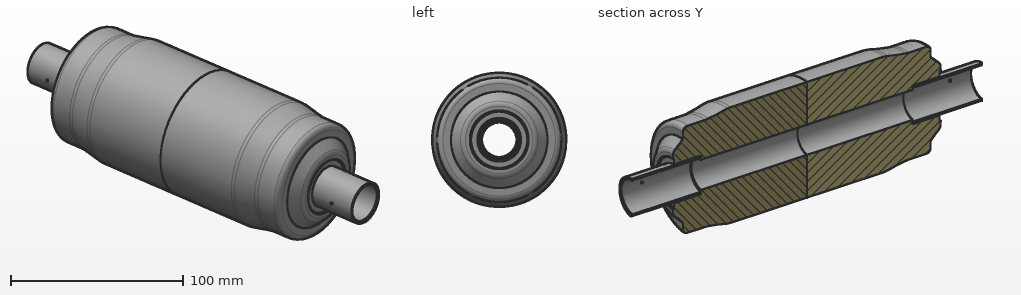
import cadquery as cq

overall_length = 243.5
end_x = overall_length / 2

barrel_radius = 39.0
barrel_end_x = 54.3
shoulder_radius = 36.0
taper_end_x = 69.5
taper_blend_radius = 12.0
shell_end_x = 86.2
shell_end_fillet = 3.5

nose_end_x = 93.0
nose_base_radius = 28.0
nose_length = nose_end_x - shell_end_x
nose_tip_radius = nose_base_radius - nose_length
nose_fillet = 4.1

recess_mouth_radius = 17.0
recess_floor_radius = 16.3
recess_depth = recess_mouth_radius - recess_floor_radius
recess_floor_x = nose_end_x - recess_depth

tube_outer_radius = 12.7
tube_bore_radius = 11.2
tube_bore_chamfer = 0.5
socket_depth = 19.5
tube_inner_x = nose_end_x - socket_depth
shell_bore_radius = 10.0

tube_hole_diameter = 1.2
tube_hole_x = 106.9


def fillet_rim(body, x, radius, fillet_radius):
    """Round the circular edge of the given radius that is centred on the axis at x."""
    tolerance = 0.002
    rims = body.edges("%CIRCLE").filter(
        lambda edge: abs(edge.Center().x - x) < tolerance and abs(edge.radius() - radius) < tolerance
    )
    return rims.fillet(fillet_radius)


def revolve_about_x(points):
    """Revolve an outline of (x, radius) points about the X axis, with the seam on the -Y side."""
    outline = [(x, -radius) for x, radius in points]
    return cq.Workplane("XY").polyline(outline).close().revolve(360, (0, 0, 0), (1, 0, 0))


def make_shell_half():
    """Right-hand shell half with its nose, tube socket and through bore."""
    half = revolve_about_x([
        (0, shell_bore_radius),
        (0, barrel_radius),
        (barrel_end_x, barrel_radius),
        (taper_end_x, shoulder_radius),
        (shell_end_x, shoulder_radius),
        (shell_end_x, nose_base_radius),
        (nose_end_x, nose_tip_radius),
        (nose_end_x, recess_mouth_radius),
        (recess_floor_x, recess_floor_radius),
        (recess_floor_x, tube_outer_radius),
        (tube_inner_x, tube_outer_radius),
        (tube_inner_x, shell_bore_radius),
    ])
    half = fillet_rim(half, barrel_end_x, barrel_radius, taper_blend_radius)
    half = fillet_rim(half, taper_end_x, shoulder_radius, taper_blend_radius)
    half = fillet_rim(half, shell_end_x, shoulder_radius, shell_end_fillet)
    return fillet_rim(half, nose_end_x, nose_tip_radius, nose_fillet)


def make_tube():
    """Right-hand tube, seated in the shell socket, with a small hole on the -Y side."""
    tube = revolve_about_x([
        (tube_inner_x, tube_bore_radius),
        (tube_inner_x, tube_outer_radius),
        (end_x, tube_outer_radius),
        (end_x, tube_bore_radius + tube_bore_chamfer),
        (end_x - tube_bore_chamfer, tube_bore_radius),
    ])
    hole_cutter = (
        cq.Workplane("XZ")
        .center(tube_hole_x, 0)
        .circle(tube_hole_diameter / 2)
        .extrude(tube_outer_radius)
    )
    return tube.cut(hole_cutter)


bodies = []
for right_body in (make_shell_half(), make_tube()):
    left_body = right_body.mirror("YZ")
    bodies += [left_body.val(), right_body.val()]

result = cq.Compound.makeCompound(bodies)